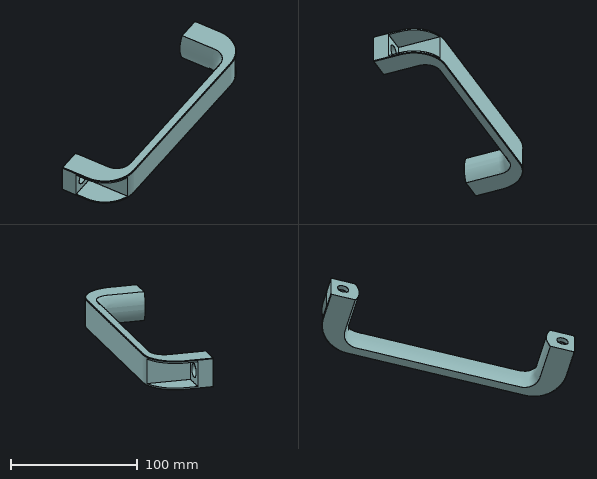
import cadquery as cq

standoff = 50.0
length = 200.0
width = 24.0

outer_radius = 27.0
leg_inner_y = 19.8
grip_inner_x = 43.2
inner_radius = 12.8
outer_chamfer = 0.5

bulge_height = 3.5
bulge_flat = 4.2
shoulder_height = 1.8
shoulder_inset = 3.2
corner_height = 0.2
bulge_overlap = 1.0

hole_diameter = 9.0
hole_inset = 10.0
hole_neck = 4.0
bore_diameter = 11.0
pocket_start_x = 13.0
pocket_depth = 19.2
pocket_wall = 1.8


def make_body():
    """U-shaped plate with chamfered outer edges."""
    plate = cq.Workplane("XY").box(standoff, length, width, centered=(False, True, False))
    plate = plate.edges("|Z and >X").fillet(outer_radius)
    plate = plate.faces(">X").edges("|Y").chamfer(outer_chamfer)
    opening = (
        cq.Workplane("XY")
        .box(grip_inner_x, length - 2 * leg_inner_y, width, centered=(False, True, False))
        .edges("|Z and >X")
        .fillet(inner_radius)
    )
    return plate.cut(opening)


def make_bulge():
    """Rounded rib swept along the inner edge of both legs and the grip."""
    edge_y = length / 2 - leg_inner_y
    bend_x = grip_inner_x - inner_radius
    bend_y = edge_y - inner_radius
    path = (
        cq.Workplane("XY")
        .moveTo(0, -edge_y)
        .lineTo(bend_x, -edge_y)
        .tangentArcPoint((grip_inner_x, -bend_y), relative=False)
        .lineTo(grip_inner_x, bend_y)
        .tangentArcPoint((bend_x, edge_y), relative=False)
        .lineTo(0, edge_y)
    )
    base_y = -edge_y - bulge_overlap
    corner_y = -edge_y + corner_height
    shoulder_y = -edge_y + shoulder_height
    crest_y = -edge_y + bulge_height
    flat_bottom = (width - bulge_flat) / 2
    flat_top = (width + bulge_flat) / 2
    profile = (
        cq.Workplane("YZ")
        .moveTo(base_y, 0)
        .lineTo(corner_y, 0)
        .spline(
            [(shoulder_y, shoulder_inset), (crest_y, flat_bottom)],
            tangents=[(1, 1), (0, 1)],
            includeCurrent=True,
        )
        .lineTo(crest_y, flat_top)
        .spline(
            [(shoulder_y, width - shoulder_inset), (corner_y, width)],
            tangents=[(0, 1), (-1, 1)],
            includeCurrent=True,
        )
        .lineTo(base_y, width)
        .close()
    )
    return profile.sweep(path)


def make_end_cut(side):
    """Stepped screw hole and access pocket of one leg; side is -1 or +1 along Y."""
    hole = (
        cq.Workplane("YZ")
        .center(side * (length / 2 - hole_inset), width / 2)
        .circle(hole_diameter / 2)
        .extrude(standoff)
    )
    bore = (
        cq.Workplane("YZ", origin=(hole_neck, 0, 0))
        .center(side * (length / 2 - hole_inset), width / 2)
        .circle(bore_diameter / 2)
        .extrude(pocket_start_x - hole_neck)
    )
    pocket = cq.Workplane("XY").box(
        standoff - pocket_start_x,
        pocket_depth,
        width - 2 * pocket_wall,
        centered=(False, True, True),
    )
    pocket_y = side * (length - pocket_depth) / 2
    return hole.union(bore).union(pocket.translate((pocket_start_x, pocket_y, width / 2)))


result = make_body().union(make_bulge())
for side in (-1, 1):
    result = result.cut(make_end_cut(side))